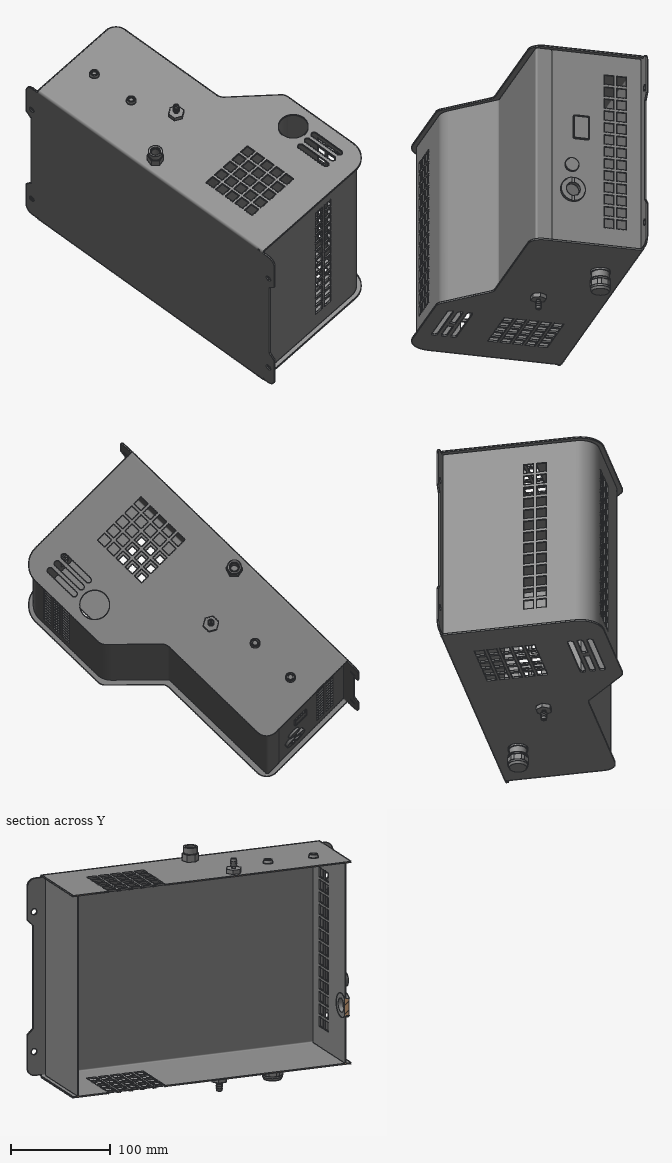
import cadquery as cq
import math

SHEET = 1.7
BEND_RADIUS = 3.0
BODY_WIDTH = 304.0
BODY_HEIGHT = 212.0
BODY_DEPTH = 162.5
LOW_DEPTH = 116.5
FLANGE_Z = BODY_HEIGHT / 2

PLATE_WIDTH = 334.0
PLATE_HEIGHT = BODY_HEIGHT - 2 * BEND_RADIUS
PLATE_WAIST_WIDTH = 321.3
WAIST_HEIGHT = 107.5
TAB_CORNER_RADIUS = 8.5
MOUNT_HOLE_DIAMETER = 6.5
MOUNT_HOLE_X = 159.5
MOUNT_HOLE_HEIGHTS = (68.0, -78.0)

RAMP_START_X = -10.5
LEFT_CORNER_RADIUS = 13.5
RAMP_CORNER_RADIUS = 10.0
RIGHT_CORNER_RADIUS = 24.0

COVER_SIDE_INSET = 4.7
COVER_REAR_INSET = 4.7
COVER_LOW_INSET = 5.7
COVER_LAP_STEP = 0.5
COVER_LAP_Y = 94.2
COVER_LAP_CORNER = 1.7
COVER_LEFT_RADIUS = 2.5
COVER_INSIDE_RADIUS = 3.5
COVER_RAMP_RADIUS = 20.0
COVER_RIGHT_RADIUS = 19.5
COVER_X = BODY_WIDTH / 2 - COVER_SIDE_INSET
INNER_HEIGHT = BODY_HEIGHT - 2 * SHEET
PANEL_X = -COVER_X + COVER_LAP_STEP

VENT_SIZE = 10.0
VENT_PITCH = 13.0
SIDE_VENT_ROWS = 13
SIDE_VENT_COLUMNS = 2
REAR_VENT_COLUMNS = 3
LEFT_VENT_Y = 28.0
RIGHT_VENT_Y = 96.2
REAR_VENT_X = 103.2
FLANGE_VENT_COUNT = 5
FLANGE_VENT_X = 82.0
FLANGE_VENT_Y = 58.0
BOTTOM_VENT_SHIFT_Y = -0.7

FAN_HOLE_DIAMETER = 30.0
FAN_HOLE_X = 68.8
FAN_HOLE_Y = 138.3
SLOT_WIDTH = 6.0
SLOT_PITCH = 10.0
SLOT_MIDDLE_Y = 134.5
TOP_SLOT_ENDS = (88.2, 128.3)
BOTTOM_SLOT_ENDS = (48.5, 113.2)
BOTTOM_BRIDGE_ENDS = (79.8, 87.0)

DISPLAY_Y = 63.8
DISPLAY_Z = 22.7
DISPLAY_WIDTH = 16.7
DISPLAY_HEIGHT = 25.5
DISPLAY_FRAME = 1.0
DISPLAY_CORNER = 1.7
DISPLAY_RAISE = 1.7
DISPLAY_RECESS = 0.7
BUTTON_Y = 73.8
BUTTON_Z = -19.0
BUTTON_DIAMETER = 14.0
BUTTON_RAISE = 2.7
SOCKET_Y = 72.8
SOCKET_Z = -46.0
SOCKET_DIAMETER = 25.0
SOCKET_BORE = 14.5
SOCKET_RAISE = 3.5
SOCKET_LENGTH = 5.5
SOCKET_NOTCH_WIDTH = 2.8
SOCKET_NOTCH_DEPTH = 0.7

FITTING_HEIGHT = 14.5
JACK_PLACES = ((-123.2, 53.5), (-73.5, 53.5))
TOP_BARB_PLACE = (-28.5, 70.8)
BOTTOM_BARB_PLACE = (-12.7, 70.8)
TUBE_FITTING_PLACE = (-5.7, 14.5)
CABLE_GLAND_PLACE = (-89.5, 27.7)


def box_between(x_ends, y_ends, z_ends):
    """Axis-parallel box given by its end positions."""
    size = [ends[1] - ends[0] for ends in (x_ends, y_ends, z_ends)]
    return cq.Workplane("XY").box(*size, centered=False).translate((x_ends[0], y_ends[0], z_ends[0]))


def stepped_outline(half_width, low_y, deep_y, ramp_shift, radii, height):
    """Block with the stepped plan outline; radii go from the left corner to the right one."""
    ramp_start = RAMP_START_X + ramp_shift
    corners = [
        (-half_width, low_y),
        (ramp_start, low_y),
        (ramp_start + deep_y - low_y, deep_y),
        (half_width, deep_y),
    ]
    block = (
        cq.Workplane("XY")
        .polyline([(-half_width, 0), *corners, (half_width, 0)])
        .close()
        .extrude(height / 2, both=True)
    )
    for (x, y), radius in zip(corners, radii):
        edge = cq.selectors.NearestToPointSelector((x, y, 0))
        block = block.edges(edge).fillet(radius)
    return block


def make_channel():
    """Plate strip and both flanges as one bent sheet."""
    def rounded_bar(inset, depth, radius):
        bar = cq.Workplane("XY").box(BODY_WIDTH, depth, BODY_HEIGHT - 2 * inset)
        bar = bar.translate((0, depth / 2 + inset, 0))
        return bar.edges("|X and <Y").fillet(radius)

    outside = rounded_bar(0, BODY_DEPTH, BEND_RADIUS)
    inside = rounded_bar(SHEET, BODY_DEPTH, BEND_RADIUS - SHEET)
    radii = (LEFT_CORNER_RADIUS, RAMP_CORNER_RADIUS, RAMP_CORNER_RADIUS, RIGHT_CORNER_RADIUS)
    plan = stepped_outline(BODY_WIDTH / 2, LOW_DEPTH, BODY_DEPTH, 0, radii, BODY_HEIGHT)
    return outside.cut(inside).intersect(plan)


def make_mounting_plate():
    """Plate with a waist on both sides and screw holes in the four tabs."""
    plate = cq.Workplane("XY").box(PLATE_WIDTH, SHEET, PLATE_HEIGHT)
    plate = plate.edges("|Y").fillet(TAB_CORNER_RADIUS)
    waist_depth = (PLATE_WIDTH - PLATE_WAIST_WIDTH) / 2
    half_waist = WAIST_HEIGHT / 2
    for side in (-1, 1):
        waist = (
            cq.Workplane("XZ")
            .polyline([
                (side * PLATE_WAIST_WIDTH / 2, -half_waist),
                (side * PLATE_WAIST_WIDTH / 2, half_waist),
                (side * PLATE_WIDTH / 2, half_waist + waist_depth),
                (side * PLATE_WIDTH / 2, -half_waist - waist_depth),
            ])
            .close()
            .extrude(SHEET, both=True)
        )
        plate = plate.cut(waist)
    hole_places = [(x, z) for x in (-MOUNT_HOLE_X, MOUNT_HOLE_X) for z in MOUNT_HOLE_HEIGHTS]
    holes = (
        cq.Workplane("XZ")
        .pushPoints(hole_places)
        .circle(MOUNT_HOLE_DIAMETER / 2)
        .extrude(SHEET, both=True)
    )
    return plate.cut(holes).translate((0, SHEET / 2, 0))


def make_cover():
    """Bent cover: left lap, low rear wall, ramp, deep rear wall and right wall."""
    low_y = LOW_DEPTH - COVER_LOW_INSET
    deep_y = BODY_DEPTH - COVER_REAR_INSET
    ramp_shift = COVER_REAR_INSET * math.sqrt(2) - COVER_LOW_INSET
    radii = (COVER_LEFT_RADIUS, COVER_INSIDE_RADIUS, COVER_RAMP_RADIUS, COVER_RIGHT_RADIUS)
    outside = stepped_outline(COVER_X, low_y, deep_y, ramp_shift, radii, INNER_HEIGHT)
    inner_shift = ramp_shift + SHEET * (math.sqrt(2) - 1)
    inner_radii = (
        COVER_LEFT_RADIUS - SHEET,
        COVER_INSIDE_RADIUS + SHEET,
        COVER_RAMP_RADIUS - SHEET,
        COVER_RIGHT_RADIUS - SHEET,
    )
    inside = stepped_outline(
        COVER_X - SHEET, low_y - SHEET, deep_y - SHEET, inner_shift, inner_radii, INNER_HEIGHT
    )
    half = INNER_HEIGHT / 2
    lap_opening = box_between((-COVER_X, -COVER_X + SHEET), (0, COVER_LAP_Y), (-half, half))
    cover = outside.cut(inside).cut(lap_opening)
    lap_corners = cq.selectors.BoxSelector(
        (-COVER_X - SHEET, COVER_LAP_Y - SHEET, -BODY_HEIGHT),
        (-COVER_X + SHEET, COVER_LAP_Y + SHEET, BODY_HEIGHT),
    )
    return cover.edges("|X").edges(lap_corners).fillet(COVER_LAP_CORNER)


def make_left_panel():
    """Side panel standing between the flanges, tucked under the cover's lap."""
    half = INNER_HEIGHT / 2
    panel_end_y = LOW_DEPTH - COVER_LOW_INSET - SHEET
    return box_between((PANEL_X, PANEL_X + SHEET), (SHEET / 2, panel_end_y), (-half, half))


def vent_cutter(plane, columns, rows, length):
    """Grid of square prisms on a plane, reaching the given length to both sides."""
    return (
        cq.Workplane(plane)
        .rarray(VENT_PITCH, VENT_PITCH, columns, rows)
        .rect(VENT_SIZE, VENT_SIZE)
        .extrude(length, both=True)
    )


def cut_vents(body):
    """Grids in both side walls, the rear wall and both flanges."""
    reach = 2 * SHEET
    side_grid = vent_cutter("YZ", SIDE_VENT_COLUMNS, SIDE_VENT_ROWS, reach)
    rear_grid = vent_cutter("XZ", REAR_VENT_COLUMNS, SIDE_VENT_ROWS, reach)
    flange_grid = vent_cutter("XY", FLANGE_VENT_COUNT, FLANGE_VENT_COUNT, reach)
    body = body.cut(side_grid.translate((PANEL_X, LEFT_VENT_Y, 0)))
    body = body.cut(side_grid.translate((COVER_X, RIGHT_VENT_Y, 0)))
    body = body.cut(rear_grid.translate((REAR_VENT_X, BODY_DEPTH - COVER_REAR_INSET, 0)))
    body = body.cut(flange_grid.translate((FLANGE_VENT_X, FLANGE_VENT_Y, FLANGE_Z)))
    return body.cut(flange_grid.translate((FLANGE_VENT_X, FLANGE_VENT_Y + BOTTOM_VENT_SHIFT_Y, -FLANGE_Z)))


def slot_cutter(x_ends, y, z):
    """Round-ended slot along X through a flange."""
    return (
        cq.Workplane("XY", origin=((x_ends[0] + x_ends[1]) / 2, y, z))
        .slot2D(x_ends[1] - x_ends[0], SLOT_WIDTH)
        .extrude(2 * SHEET, both=True)
    )


def cut_flange_openings(body):
    """Round opening and slots on top; long slots at the bottom, the middle one bridged."""
    fan_hole = (
        cq.Workplane("XY", origin=(FAN_HOLE_X, FAN_HOLE_Y, FLANGE_Z))
        .circle(FAN_HOLE_DIAMETER / 2)
        .extrude(2 * SHEET, both=True)
    )
    body = body.cut(fan_hole)
    for row in (-1, 0, 1):
        slot_y = SLOT_MIDDLE_Y + row * SLOT_PITCH
        body = body.cut(slot_cutter(TOP_SLOT_ENDS, slot_y, FLANGE_Z))
        bottom_slot = slot_cutter(BOTTOM_SLOT_ENDS, slot_y, -FLANGE_Z)
        if row == 0:
            bridge_y = (slot_y - SLOT_WIDTH, slot_y + SLOT_WIDTH)
            bottom_slot = bottom_slot.cut(
                box_between(BOTTOM_BRIDGE_ENDS, bridge_y, (-BODY_HEIGHT, 0))
            )
        body = body.cut(bottom_slot)
    return body


def panel_plane(y, z, raise_height=0.0):
    """Workplane on the left panel, facing outward along -X."""
    return cq.Workplane(
        cq.Plane(origin=(PANEL_X - raise_height, y, z), xDir=(0, -1, 0), normal=(-1, 0, 0))
    )


def add_display(body):
    """Raised display block with a framed, slightly sunken window."""
    block = panel_plane(DISPLAY_Y, DISPLAY_Z).rect(DISPLAY_WIDTH, DISPLAY_HEIGHT).extrude(DISPLAY_RAISE)
    block = block.edges("|X").fillet(DISPLAY_CORNER)
    window = (
        panel_plane(DISPLAY_Y, DISPLAY_Z, DISPLAY_RAISE)
        .rect(DISPLAY_WIDTH - 2 * DISPLAY_FRAME, DISPLAY_HEIGHT - 2 * DISPLAY_FRAME)
        .extrude(-DISPLAY_RECESS)
    )
    return body.union(block.cut(window))


def add_button(body):
    """Plain round push button."""
    return body.union(
        panel_plane(BUTTON_Y, BUTTON_Z).circle(BUTTON_DIAMETER / 2).extrude(BUTTON_RAISE)
    )


def add_socket(body):
    """Round socket through the panel, with a notch above and below its bore."""
    face = panel_plane(SOCKET_Y, SOCKET_Z, SOCKET_RAISE)
    ring = face.circle(SOCKET_DIAMETER / 2).extrude(-SOCKET_LENGTH)
    bore = face.circle(SOCKET_BORE / 2).extrude(-SOCKET_LENGTH)
    notches = face.rect(SOCKET_NOTCH_WIDTH, SOCKET_DIAMETER).extrude(-SOCKET_NOTCH_DEPTH)
    return body.union(ring).cut(bore).cut(notches)


def turned(profile):
    """Solid of revolution about Z from (diameter, height) steps."""
    points = [(diameter / 2, height) for diameter, height in profile]
    outline = [(0, profile[0][1]), *points, (0, profile[-1][1])]
    return cq.Workplane("XZ").polyline(outline).close().revolve(360, (0, 0), (0, 1))


def hexagon(across_flats, height, angle=0.0):
    """Hexagonal prism on Z = 0 with one corner at the given angle from +X."""
    across_corners = across_flats / math.cos(math.radians(30))
    prism = cq.Workplane("XY").polygon(6, across_corners).extrude(height)
    return prism.rotate((0, 0, 0), (0, 0, 1), angle)


def make_jack():
    """Low tapered ring with a blind socket."""
    rim = 10.0
    top = 8.0
    straight_height = 0.7
    height = 3.5
    bore = 5.5
    bore_depth = 2.0
    body = turned([(rim, 0), (rim, straight_height), (top, height)])
    return body.faces(">Z").workplane().hole(bore, bore_depth)


def make_barb_fitting():
    """Hexagon base, neck and three hose barbs with a narrow bore."""
    across_flats = 14.0
    base_height = 4.5
    neck = 4.0
    stem = 5.0
    barb = 6.5
    bore = 2.0
    barb_starts = (7.0, 9.5, 11.7)
    profile = [(neck, 0), (neck, barb_starts[0])]
    for start, end in zip(barb_starts, (*barb_starts[1:], FITTING_HEIGHT)):
        profile += [(barb, start), (stem, end)]
    fitting = hexagon(across_flats, base_height).union(turned(profile))
    return fitting.faces(">Z").workplane().hole(bore, FITTING_HEIGHT - base_height)


def make_tube_fitting():
    """Hexagon body with a sleeve and a blind stepped bore."""
    across_flats = 14.5
    base_height = 7.5
    corner_angle = -18
    neck = 13.5
    neck_end = 8.0
    sleeve = 14.0
    bore = 8.0
    mouth = 10.0
    mouth_depth = 2.0
    tube = turned([(neck, 0), (neck, neck_end), (sleeve, neck_end), (sleeve, FITTING_HEIGHT)])
    fitting = hexagon(across_flats, base_height, corner_angle).union(tube)
    top = fitting.faces(">Z").workplane()
    return top.cboreHole(bore, mouth, mouth_depth, FITTING_HEIGHT - SHEET)


def make_cable_gland():
    """Gland with a collar, a sleeve, a rim and a hexagonal dome nut."""
    rim = 20.0
    sleeve = 18.0
    neck = 19.0
    dome_top = 17.7
    collar_end = 2.0
    rim_start = 9.0
    rim_end = 9.5
    nut_start = 11.5
    nut_height = 6.5
    nut_corner = 21.5
    nut_angle = 20.5
    dome_start = 19.7
    height = 22.5
    body = turned([
        (rim, 0), (rim, collar_end), (sleeve, collar_end), (sleeve, rim_start),
        (rim, rim_start), (rim, rim_end), (neck, rim_end), (neck, nut_start),
        (rim, nut_start), (rim, dome_start), (dome_top, height),
    ])
    nut_blank = turned([(nut_corner, 0), (nut_corner, nut_height)])
    nut = hexagon(rim, nut_height, nut_angle).intersect(nut_blank)
    return body.union(nut.translate((0, 0, nut_start)))


def add_connectors(body):
    """Jacks, barb and tube fitting on the top flange; barb and cable gland underneath."""
    def on_top(fitting, place):
        return fitting.translate((*place, FLANGE_Z))

    def on_bottom(fitting, place):
        return fitting.rotate((0, 0, 0), (1, 0, 0), 180).translate((*place, -FLANGE_Z))

    for place in JACK_PLACES:
        body = body.union(on_top(make_jack(), place))
    body = body.union(on_top(make_barb_fitting(), TOP_BARB_PLACE))
    body = body.union(on_top(make_tube_fitting(), TUBE_FITTING_PLACE))
    body = body.union(on_bottom(make_barb_fitting(), BOTTOM_BARB_PLACE))
    return body.union(on_bottom(make_cable_gland(), CABLE_GLAND_PLACE))


result = make_channel().union(make_mounting_plate()).union(make_cover()).union(make_left_panel())
result = cut_vents(result)
result = cut_flange_openings(result)
result = add_display(result)
result = add_button(result)
result = add_socket(result)
result = add_connectors(result)